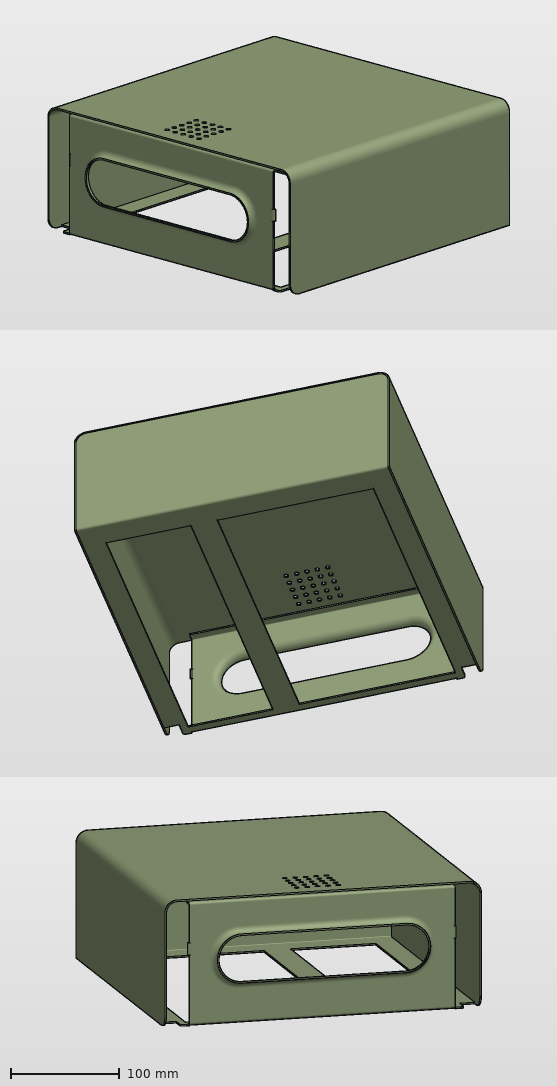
import cadquery as cq
import math

width = 303.2
height = 120.5
depth = 299.0
sheet = 1.6
bend_inside = 0.82
bend_outside = bend_inside + sheet

cover_bend = 11.5
wall_corner = 12.0
vent_count = 5
vent_pitch = 10.0
vent_diameter = 4.2
vent_centre_y = 39.0

panel_y = 3.0
panel_half_width = 127.3
panel_top = 116.0
lip_depth = 9.0

slot_z = 62.0
slot_straight_half = 78.8
flare_radius = 6.0
flare_lip_radius = 23.3
flare_base_radius = flare_lip_radius + flare_radius

tab_reach = 1.2
tab_bottom = 66.7
tab_height = 11.5

floor_half_width = width / 2 - sheet
tongue_half_width = 135.8
notch_depth = 14.3
tongue_corner = 2.5
window_half_span = 128.5
rib_left = 21.5
rib_width = 25.5
window_back_margin = 24.3

floor_front_y = panel_y + notch_depth
window_front_y = panel_y + lip_depth
window_back_y = depth - window_back_margin


def box(x0, x1, y0, y1, z0, z1):
    """Axis-aligned block between two opposite corners."""
    return cq.Workplane("XY").box(x1 - x0, y1 - y0, z1 - z0, centered=False).translate((x0, y0, z0))


def arch(inset):
    """Solid with the outline of the cover, shrunk inward by inset on the sides and top."""
    half = width / 2 - inset
    block = box(-half, half, 0, depth, 0, height - inset)
    return block.edges("|Y and >Z").fillet(cover_bend - inset)


def make_cover():
    """Top and two side walls bent from one sheet, with a square grid of vent holes."""
    cover = arch(0).cut(arch(sheet))
    cover = cover.faces("<Y").edges("|X and <Z").fillet(wall_corner)
    vents = (
        cq.Workplane("XY", origin=(0, vent_centre_y, height / 2))
        .rarray(vent_pitch, vent_pitch, vent_count, vent_count)
        .circle(vent_diameter / 2)
        .extrude(height)
    )
    return cover.cut(vents).solids()


def bent_sheet(half_width, y0, y1, z0, z1, bent_edges):
    """Closed tube of sheet metal along X, open at both ends and rounded at the bent edges."""
    outer = box(-half_width, half_width, y0, y1, z0, z1).edges(bent_edges).fillet(bend_outside)
    inner = box(-half_width, half_width, y0 + sheet, y1 - sheet, z0 + sheet, z1 - sheet)
    return outer.cut(inner.edges(bent_edges).fillet(bend_inside))


def make_front_panel():
    """Upright front panel with a rearward flange along its top and bottom."""
    tube = bent_sheet(panel_half_width, panel_y, depth, 0, panel_top, "|X and <Y")
    return tube.intersect(box(-width, width, 0, window_front_y, 0, height))


def flank_profile(bend_radius):
    """Half section of the flared slot, its flank a concave quarter round about the flare axis."""
    axis_y = panel_y - flare_radius
    diagonal = bend_radius * math.sqrt(0.5)
    return (
        cq.Workplane("YZ", origin=(-slot_straight_half, 0, slot_z))
        .moveTo(axis_y, 0)
        .lineTo(axis_y, flare_base_radius - bend_radius)
        .threePointArc(
            (axis_y + diagonal, flare_base_radius - diagonal),
            (axis_y + bend_radius, flare_base_radius),
        )
        .lineTo(axis_y + bend_radius, 0)
        .close()
    )


def slot_ridge(bend_radius):
    """Filled round-ended ridge along the slot, with the half section swept all around it."""
    upper_half = flank_profile(bend_radius).extrude(2 * slot_straight_half)
    lower_half = upper_half.mirror("XY", (0, 0, slot_z))
    end = flank_profile(bend_radius).revolve(360, (0, 0, 0), (1, 0, 0))
    return upper_half.union(lower_half).union(end).union(end.mirror("YZ"))


def add_flare(panel):
    """Turn the edge of the slot outward, toward -Y, in a quarter round."""
    opening = (
        cq.Workplane("XZ", origin=(0, panel_y, slot_z))
        .slot2D(2 * (slot_straight_half + flare_base_radius), 2 * flare_base_radius)
        .extrude(-sheet)
    )
    flare = slot_ridge(flare_radius).union(opening).cut(slot_ridge(flare_radius + sheet))
    return panel.cut(opening).union(flare)


def add_tab(chassis, side):
    """Quarter-round tab bent backward from one side (-1 or +1) of the front panel."""
    tip = panel_half_width + tab_reach
    root = tip - bend_outside
    tab_top = tab_bottom + tab_height
    corner = box(root, tip, panel_y, panel_y + bend_outside, tab_bottom, tab_top)
    ring = (
        cq.Workplane("XY", origin=(root, panel_y + bend_outside, tab_bottom))
        .circle(bend_outside)
        .circle(bend_inside)
        .extrude(tab_height)
    )
    tab = ring.intersect(corner)
    if side < 0:
        corner = corner.mirror("YZ")
        tab = tab.mirror("YZ")
    return chassis.cut(corner).union(tab)


def make_floor_and_back():
    """Floor with two windows, bent up at the rear into the back wall."""
    tube = bent_sheet(floor_half_width, 0, depth, 0, 2 * height, "|X and >Y and <Z")
    floor = tube.cut(box(-width, width, 0, floor_front_y, 0, 2 * height)).intersect(arch(sheet))

    tongue = box(-tongue_half_width, tongue_half_width, panel_y, floor_front_y, 0, sheet)
    tongue = tongue.edges("|Z and <Y").fillet(tongue_corner)
    tongue = tongue.cut(box(-panel_half_width, panel_half_width, 0, panel_y + bend_outside, 0, sheet))

    rib_right = rib_left + rib_width
    floor = floor.union(tongue)
    for x0, x1 in ((-window_half_span, rib_left), (rib_right, window_half_span)):
        floor = floor.cut(box(x0, x1, window_front_y, window_back_y, 0, sheet))
    return floor


def make_chassis():
    """Front panel, floor and back wall as one bent sheet that fits inside the cover."""
    chassis = add_flare(make_front_panel()).union(make_floor_and_back())
    for side in (-1, 1):
        chassis = add_tab(chassis, side)
    return chassis.solids()


cover = make_cover()
chassis = make_chassis()
result = cq.Compound.makeCompound([cover.val(), chassis.val()])